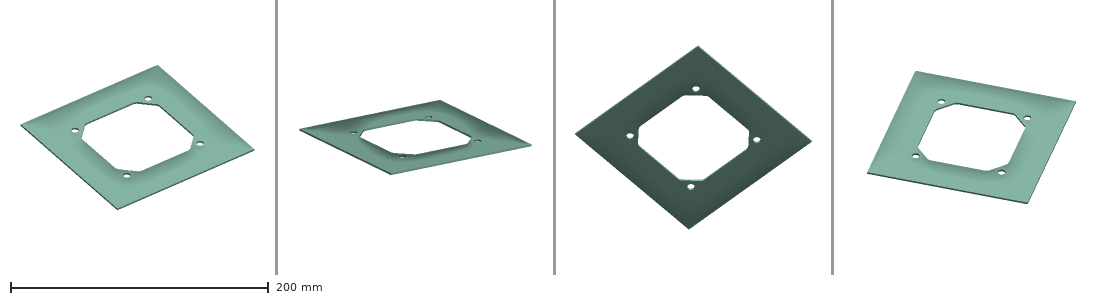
import cadquery as cq

plate_side = 130.0
plate_thickness = 1.5

opening_side = 73.6
corner_cut = 13.0
corner_radius = 5.0

hole_spacing = 69.5
hole_diameter = 5.8

plate = cq.Workplane("XY").box(plate_side, plate_side, plate_thickness)

opening = (
    cq.Workplane("XY")
    .box(opening_side, opening_side, plate_thickness)
    .edges("|Z")
    .chamfer(corner_cut)
    .edges("|Z")
    .fillet(corner_radius)
)

mounting_holes = (
    cq.Workplane("XY")
    .rect(hole_spacing, hole_spacing, forConstruction=True)
    .vertices()
    .circle(hole_diameter / 2)
    .extrude(plate_thickness / 2, both=True)
)

result = plate.cut(opening).cut(mounting_holes)